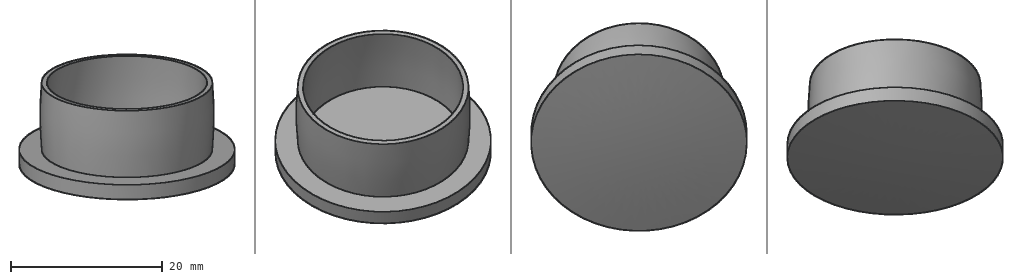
import cadquery as cq

flange_diameter = 28.5
total_height = 12.23

dome_height = 0.83
flange_thickness = 2.08
wall_height = total_height - dome_height - flange_thickness

wall_outer_radius = 11.3
wall_thickness = 0.7
wall_bulge = 0.2

flange_radius = flange_diameter / 2
wall_inner_radius = wall_outer_radius - wall_thickness

flange_bottom = dome_height
flange_top = flange_bottom + flange_thickness
wall_middle = flange_top + wall_height / 2
wall_top = total_height


def revolve_about_z(profile):
    """Turn a closed half section, drawn in the XZ plane, around the Z axis."""
    return profile.revolve(360, (0, 0, 0), (0, 1, 0))


def make_domed_flange():
    """Round flange with a shallow spherical dome on its underside."""
    sphere_radius = (flange_radius**2 + dome_height**2) / (2 * dome_height)
    mid_radius = flange_radius / 2
    mid_height = sphere_radius - (sphere_radius**2 - mid_radius**2) ** 0.5
    profile = (
        cq.Workplane("XZ")
        .moveTo(0, 0)
        .threePointArc((mid_radius, mid_height), (flange_radius, flange_bottom))
        .lineTo(flange_radius, flange_top)
        .lineTo(0, flange_top)
        .close()
    )
    return revolve_about_z(profile)


def make_barrel_wall():
    """Thin ring wall, barrel shaped inside and out, standing on the flange."""
    profile = (
        cq.Workplane("XZ")
        .moveTo(wall_outer_radius, flange_top)
        .threePointArc((wall_outer_radius + wall_bulge, wall_middle), (wall_outer_radius, wall_top))
        .lineTo(wall_inner_radius, wall_top)
        .threePointArc((wall_inner_radius + wall_bulge, wall_middle), (wall_inner_radius, flange_top))
        .close()
    )
    return revolve_about_z(profile)


result = make_domed_flange().union(make_barrel_wall())